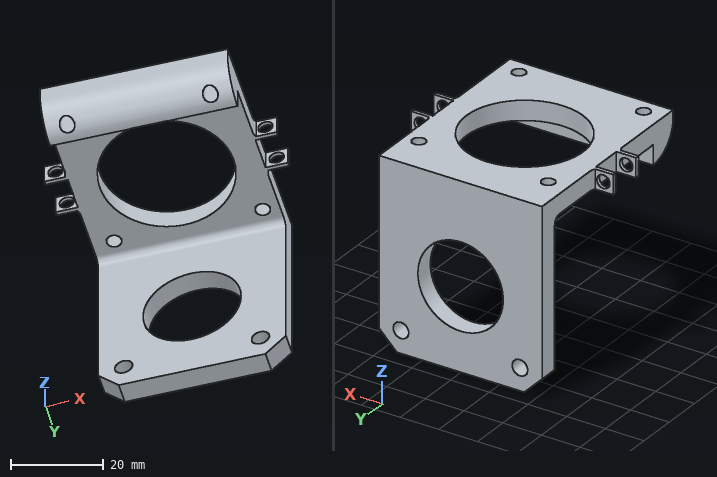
import cadquery as cq

width = 42.2
depth = 52.0
height = 47.3
plate_thickness = 5.0
inner_fillet = 2.0

lip_radius = 8.0
lip_straight = 2.05

corner_chamfer = 4.6
upright_bore_diameter = 22.0
upright_bore_z = -26.1
foot_hole_diameter = 4.0
foot_hole_x = 15.4
foot_hole_z = -41.55

top_bore_diameter = 30.0
top_bore_y = 0.5
screw_diameter = 3.3
screw_x = 16.1
rear_right_screw_x = 17.3
rear_screw_y = 15.9
front_screw_y = -21.9

ear_span = 52.3
ear_thickness = 1.0
ear_outer_offset = 5.0
ear_hole_diameter = 3.3
ear_hole_x = 23.6
ear_hole_z = -plate_thickness / 2
ear_root_length = 1.35
ear_root_reach = 0.4
ear_embed = 2.1

front_y = -depth / 2
back_y = depth / 2
half_width = width / 2


def make_bracket():
    """Side profile of the angle with its front lip, swept across the width."""
    inner_y = back_y - plate_thickness
    lip_y = front_y + lip_radius
    profile = (
        cq.Workplane("YZ", origin=(-half_width, 0, 0))
        .moveTo(front_y, 0)
        .lineTo(back_y, 0)
        .lineTo(back_y, -height)
        .lineTo(inner_y, -height)
        .lineTo(inner_y, -plate_thickness - inner_fillet)
        .radiusArc((inner_y - inner_fillet, -plate_thickness), -inner_fillet)
        .lineTo(lip_y, -plate_thickness)
        .lineTo(lip_y, -lip_straight - lip_radius)
        .radiusArc((front_y, -lip_straight), lip_radius)
        .close()
    )
    bracket = profile.extrude(width)
    return bracket.faces("<Z").edges("|Y").chamfer(corner_chamfer)


def make_ear(side, end):
    """One thin ear; side is the X sign, end is the Y sign of its outer face."""
    outer_y = top_bore_y + end * ear_outer_offset
    inner_y = outer_y - end * ear_thickness
    tip_x = side * ear_span / 2
    wall_x = side * half_width
    embedded_x = wall_x - side * ear_embed
    root_y = outer_y + end * ear_root_length
    root_radius = (ear_root_length**2 + ear_root_reach**2) / (2 * ear_root_reach)
    ear = (
        cq.Workplane("XY")
        .moveTo(embedded_x, inner_y)
        .lineTo(tip_x, inner_y)
        .lineTo(tip_x, outer_y)
        .lineTo(wall_x + side * ear_root_reach, outer_y)
        .radiusArc((wall_x, root_y), side * end * root_radius)
        .lineTo(embedded_x, root_y)
        .close()
        .extrude(-plate_thickness)
    )
    return ear


def drill_y(diameter, points, start_y, length):
    """Cylinders running toward +Y from start_y, centred on (x, z) points."""
    return (
        cq.Workplane("XZ", origin=(0, start_y, 0))
        .pushPoints(points)
        .circle(diameter / 2)
        .extrude(-length)
    )


result = make_bracket()
for side in (-1, 1):
    for end in (-1, 1):
        result = result.union(make_ear(side, end))

upright_front_y = back_y - plate_thickness
foot_holes = [(-foot_hole_x, foot_hole_z), (foot_hole_x, foot_hole_z)]
result = result.cut(drill_y(upright_bore_diameter, [(0, upright_bore_z)], upright_front_y, plate_thickness))
result = result.cut(drill_y(foot_hole_diameter, foot_holes, upright_front_y, plate_thickness))

ear_holes = [(-ear_hole_x, ear_hole_z), (ear_hole_x, ear_hole_z)]
result = result.cut(drill_y(ear_hole_diameter, ear_holes, top_bore_y - ear_outer_offset, 2 * ear_outer_offset))

screw_points = [
    (-screw_x, rear_screw_y),
    (rear_right_screw_x, rear_screw_y),
    (-screw_x, front_screw_y),
    (screw_x, front_screw_y),
]
top_bore = cq.Workplane("XY").center(0, top_bore_y).circle(top_bore_diameter / 2)
screws = cq.Workplane("XY").pushPoints(screw_points).circle(screw_diameter / 2)
result = result.cut(top_bore.extrude(-plate_thickness))
result = result.cut(screws.extrude(-lip_straight - lip_radius))